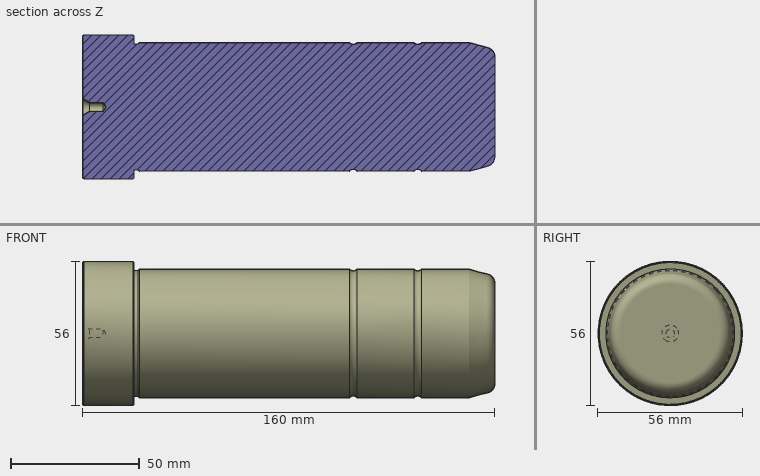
import cadquery as cq
import math

total_length = 160.0
head_diameter = 56.0
head_length = 20.0
shank_diameter = 50.0
head_chamfer = 0.5

relief_depth = 0.5
relief_width = 2.0
relief_ramp = 0.5

groove_centers = (105.0, 130.0)
groove_width = 3.0
groove_radius = 2.0

lead_length = 10.0
lead_angle = 15.0
nose_radius = 4.0

center_hole_diameter = 3.3
center_sink_diameter = 6.5
center_sink_angle = 60.0
center_hole_depth = 8.0
drill_point_angle = 118.0

head_radius = head_diameter / 2
shank_radius = shank_diameter / 2


def cone_length(large_diameter, small_diameter, included_angle):
    """Axial length of a cone frustum with the given full apex angle."""
    return (large_diameter - small_diameter) / 2 / math.tan(math.radians(included_angle / 2))


def revolve_about_x(profile):
    """Turn a closed XY profile one full revolution about the X axis."""
    return profile.close().revolve(360, (0, 0, 0), (1, 0, 0))


def make_head():
    head = cq.Workplane("YZ").circle(head_radius).extrude(head_length)
    return head.edges().chamfer(head_chamfer)


def make_shank():
    relief_radius = shank_radius - relief_depth
    relief_end = head_length + relief_width
    lead_start = total_length - lead_length
    slope = math.radians(lead_angle)
    end_radius = shank_radius - lead_length * math.tan(slope)

    turn = math.pi / 2 - slope
    tangent_length = nose_radius * math.tan(turn / 2)
    arc_start = (
        total_length - tangent_length * math.cos(slope),
        end_radius + tangent_length * math.sin(slope),
    )
    arc_end = (total_length, end_radius - tangent_length)

    profile = (
        cq.Workplane("XY")
        .moveTo(0, 0)
        .lineTo(0, relief_radius)
        .lineTo(relief_end - relief_ramp, relief_radius)
        .lineTo(relief_end, shank_radius)
        .lineTo(lead_start, shank_radius)
        .lineTo(*arc_start)
        .tangentArcPoint(arc_end, relative=False)
        .lineTo(total_length, 0)
    )
    return revolve_about_x(profile)


def make_groove(center):
    """Ring cutter whose section is a circle centered above the shank surface."""
    depth = groove_radius - math.sqrt(groove_radius**2 - (groove_width / 2) ** 2)
    profile = (
        cq.Workplane("XY")
        .moveTo(center - groove_width / 2, shank_radius)
        .threePointArc((center, shank_radius - depth), (center + groove_width / 2, shank_radius))
        .lineTo(center + groove_width / 2, head_radius)
        .lineTo(center - groove_width / 2, head_radius)
    )
    return revolve_about_x(profile)


def make_center_hole():
    sink_depth = cone_length(center_sink_diameter, center_hole_diameter, center_sink_angle)
    point_depth = cone_length(center_hole_diameter, 0, drill_point_angle)
    profile = (
        cq.Workplane("XY")
        .moveTo(0, 0)
        .lineTo(0, center_sink_diameter / 2)
        .lineTo(sink_depth, center_hole_diameter / 2)
        .lineTo(center_hole_depth, center_hole_diameter / 2)
        .lineTo(center_hole_depth + point_depth, 0)
    )
    return revolve_about_x(profile)


result = make_head().union(make_shank())
for groove_center in groove_centers:
    result = result.cut(make_groove(groove_center))
result = result.cut(make_center_hole())